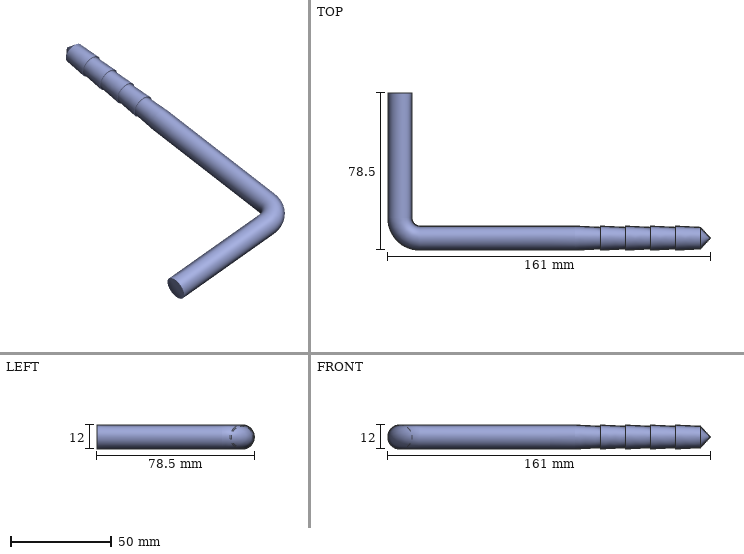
import cadquery as cq

total_length = 161.0
total_width = 78.5

rod_diameter = 12.0
rod_radius = rod_diameter / 2
bend_radius = 10.0

barb_count = 5
segment_length = 12.48
barb_small_diameter = 10.8
tip_length = 5.0

tip_x = total_length - rod_radius
arm_end_y = total_width - rod_radius
barbs_start_x = tip_x - tip_length - barb_count * segment_length
collar_start_x = barbs_start_x - segment_length


def bent_rod():
    """L-shaped round rod, from the free arm end to the start of the collar."""
    path = (
        cq.Workplane("XY")
        .moveTo(0, arm_end_y)
        .lineTo(0, bend_radius)
        .radiusArc((bend_radius, 0), -bend_radius)
        .lineTo(collar_start_x, 0)
    )
    return cq.Workplane("XZ", origin=(0, arm_end_y, 0)).circle(rod_radius).sweep(path)


def anchor_end():
    """Collar, barbs that narrow toward the tip, and cone point, revolved about X."""
    profile = (
        cq.Workplane("XY")
        .moveTo(collar_start_x, 0)
        .lineTo(collar_start_x, rod_radius)
        .lineTo(barbs_start_x, rod_radius)
    )
    for barb in range(barb_count):
        barb_end_x = barbs_start_x + (barb + 1) * segment_length
        profile = profile.lineTo(barb_end_x, barb_small_diameter / 2)
        if barb < barb_count - 1:
            profile = profile.lineTo(barb_end_x, rod_radius)
    return profile.lineTo(tip_x, 0).close().revolve(360, (0, 0, 0), (1, 0, 0))


result = bent_rod().union(anchor_end(), clean=False)